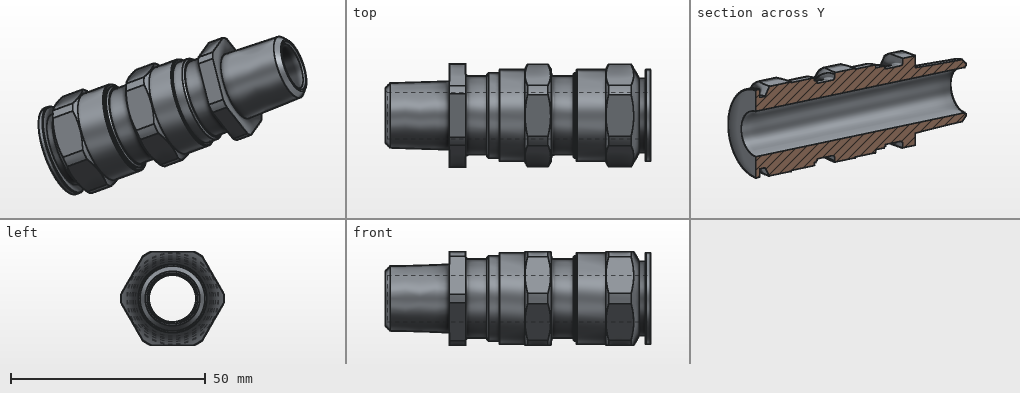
import cadquery as cq
import math


TOTAL_LENGTH = 68.16
BORE_RADIUS = 6.0
BORE_CHAMFER = 0.5

THREAD_END_RADIUS = 8.34
THREAD_CHAMFER = 1.34
THREAD_TAPER_PER_SIDE = 1 / 32

ACROSS_FLATS = 24.0
ACROSS_CORNERS_SHARP = ACROSS_FLATS / math.cos(math.radians(30))
BODY_HEX_CORNER_RADIUS = 13.25
NUT_CORNER_RADIUS = 13.15
NUT_CHAMFER_SLOPE = math.tan(math.radians(60))

GROOVE_RADIUS = 10.15
COLLAR_RADIUS = 11.0
SLEEVE_RADIUS = 11.8
NECK_RADIUS = 9.6

COLLAR_CHAMFER = 0.5
SLEEVE_CHAMFER = 0.2
ROOT_FILLET = 0.6

BODY_HEX_START = 16.5
BODY_HEX_END = 20.67
COLLAR_START = 26.12
MIDDLE_SLEEVE_START = 29.25
MIDDLE_NUT_START = 35.78
MIDDLE_NUT_END = 42.67
REAR_COLLAR_START = 48.2
REAR_SLEEVE_START = 49.07
REAR_NUT_START = 56.55
REAR_NUT_END = 65.15
FLANGE_START = 66.76

MIDDLE_NUT_END_RADIUS = 11.6


def revolve_profile(points):
    """Solid of revolution about X from (x, radius) points."""
    closed = [(points[0][0], 0)] + points + [(points[-1][0], 0)]
    return cq.Workplane("XY").polyline(closed).close().revolve(360, (0, 0, 0), (1, 0, 0))


def ring(start, end, radius, start_chamfer=0.0, end_chamfer=0.0):
    """Cylinder along X with optional 45 degree chamfers on its two rims."""
    points = [(start, radius - start_chamfer)]
    if start_chamfer:
        points.append((start + start_chamfer, radius))
    if end_chamfer:
        points.append((end - end_chamfer, radius))
    points.append((end, radius - end_chamfer))
    return revolve_profile(points)


def hex_prism(start, end):
    """Sharp hexagonal prism along X with flats on +Z and -Z."""
    return (
        cq.Workplane("YZ")
        .workplane(offset=start)
        .polygon(6, ACROSS_CORNERS_SHARP)
        .extrude(end - start)
    )


def chamfered_nut(start, end, start_radius, end_radius):
    """Hexagon with turned corners and a conical chamfer at each end."""
    start_cone = (NUT_CORNER_RADIUS - start_radius) / NUT_CHAMFER_SLOPE
    end_cone = (NUT_CORNER_RADIUS - end_radius) / NUT_CHAMFER_SLOPE
    envelope = revolve_profile(
        [
            (start, start_radius),
            (start + start_cone, NUT_CORNER_RADIUS),
            (end - end_cone, NUT_CORNER_RADIUS),
            (end, end_radius),
        ]
    )
    return hex_prism(start, end).intersect(envelope)


def groove_with_root_fillet(face, end):
    """Groove floor that flares up to the face behind it with a concave fillet."""
    middle_offset = ROOT_FILLET * (1 - math.sqrt(0.5))
    return (
        cq.Workplane("XY")
        .moveTo(face, 0)
        .lineTo(face, GROOVE_RADIUS + ROOT_FILLET)
        .threePointArc(
            (face + middle_offset, GROOVE_RADIUS + middle_offset),
            (face + ROOT_FILLET, GROOVE_RADIUS),
        )
        .lineTo(end, GROOVE_RADIUS)
        .lineTo(end, 0)
        .close()
        .revolve(360, (0, 0, 0), (1, 0, 0))
    )


def entry_thread():
    """Tapered plain cone standing for the thread, chamfered at its tip."""
    taper_length = BODY_HEX_START - THREAD_CHAMFER
    root_radius = THREAD_END_RADIUS + taper_length * THREAD_TAPER_PER_SIDE
    return revolve_profile(
        [
            (0, THREAD_END_RADIUS - THREAD_CHAMFER),
            (THREAD_CHAMFER, THREAD_END_RADIUS),
            (BODY_HEX_START, root_radius),
        ]
    )


def body_hexagon():
    turned = ring(BODY_HEX_START, BODY_HEX_END, BODY_HEX_CORNER_RADIUS)
    return hex_prism(BODY_HEX_START, BODY_HEX_END).intersect(turned)


def through_bore():
    mouth_radius = BORE_RADIUS + BORE_CHAMFER
    return revolve_profile(
        [(0, mouth_radius), (BORE_CHAMFER, BORE_RADIUS), (TOTAL_LENGTH, BORE_RADIUS)]
    )


sections = [
    body_hexagon(),
    groove_with_root_fillet(BODY_HEX_END, COLLAR_START),
    ring(COLLAR_START, MIDDLE_SLEEVE_START, COLLAR_RADIUS, start_chamfer=COLLAR_CHAMFER),
    ring(MIDDLE_SLEEVE_START, MIDDLE_NUT_START, SLEEVE_RADIUS, start_chamfer=SLEEVE_CHAMFER),
    chamfered_nut(MIDDLE_NUT_START, MIDDLE_NUT_END, SLEEVE_RADIUS, MIDDLE_NUT_END_RADIUS),
    groove_with_root_fillet(MIDDLE_NUT_END, REAR_COLLAR_START),
    ring(REAR_COLLAR_START, REAR_SLEEVE_START, COLLAR_RADIUS, start_chamfer=COLLAR_CHAMFER),
    ring(REAR_SLEEVE_START, REAR_NUT_START, SLEEVE_RADIUS, start_chamfer=SLEEVE_CHAMFER),
    chamfered_nut(REAR_NUT_START, REAR_NUT_END, SLEEVE_RADIUS, NECK_RADIUS),
    ring(REAR_NUT_END, FLANGE_START, NECK_RADIUS),
    ring(FLANGE_START, TOTAL_LENGTH, SLEEVE_RADIUS, SLEEVE_CHAMFER, SLEEVE_CHAMFER),
]

gland = entry_thread()
for section in sections:
    gland = gland.union(section)

result = gland.cut(through_bore())